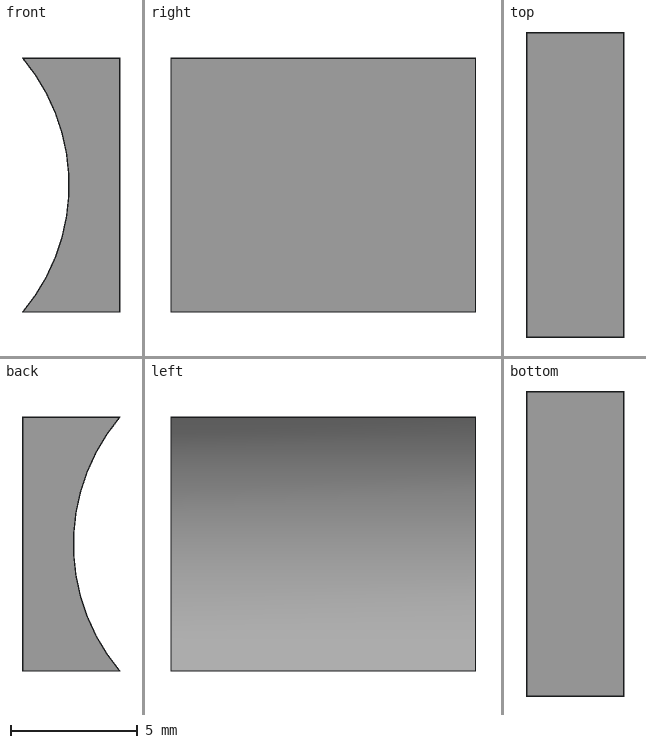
import cadquery as cq

depth = 3.83
length = 12.0
height = 10.0

wall = 2.0

back_x = depth / 2
edge_x = -depth / 2
hollow_x = back_x - wall
top_z = height / 2
bottom_z = -height / 2

profile = (
    cq.Workplane("XZ")
    .moveTo(edge_x, bottom_z)
    .lineTo(back_x, bottom_z)
    .lineTo(back_x, top_z)
    .lineTo(edge_x, top_z)
    .threePointArc((hollow_x, 0), (edge_x, bottom_z))
    .close()
)

result = profile.extrude(length / 2, both=True)